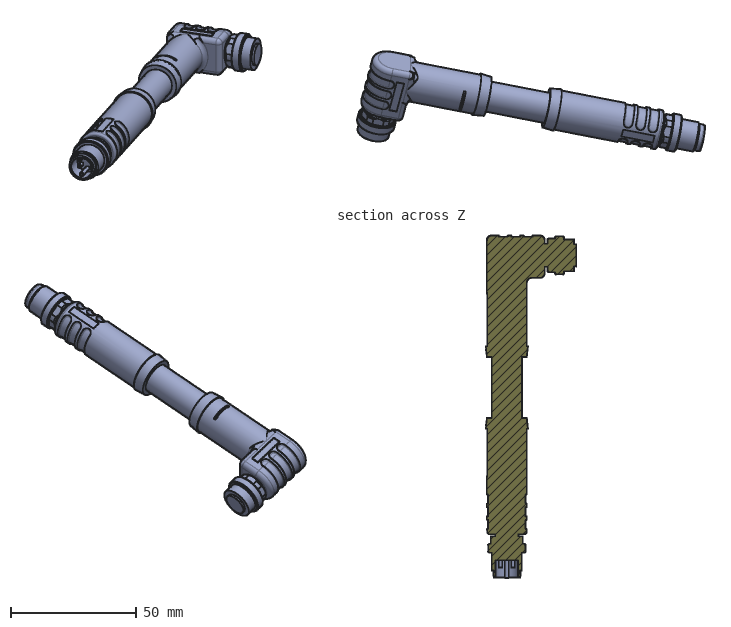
import cadquery as cq
import math


total_length = 136.8
cable_diameter = 12.3
grip_diameter = 16.0
grip_radius = grip_diameter / 2
collar_diameter = 17.0
collar_length = 4.4
male_grip_start = 17.5
male_grip_end = 64.0
male_grip_edge_radius = 1.1
female_grip_start = 88.3

housing_left = -grip_radius
housing_right = 15.2
housing_depth = 17.1
housing_half_height = grip_radius
housing_edge_radius = 2.0
housing_front = total_length - housing_depth
connector_y = total_length - housing_half_height
junction_fillet = 1.8
junction_slope_radius = 4.1
junction_margin = 0.1

groove_width = 3.7
male_groove_pitch = 5.0
female_groove_pitch = 4.9
groove_count = 3
groove_depth = 0.48
groove_floor_radius = 0.4
groove_reach = 27.4
male_groove_first = 21.5
male_groove_tip = 2.7
female_groove_first = -1.4
female_groove_tip = 126.7
groove_zone_diameter = 2 * collar_diameter

male_label_width = 3.3
male_label_length = 12.9
male_label_start = 20.1
male_label_floor = 7.8
female_label_length = 13.4
female_label_width = 3.0
female_label_start = -3.1
female_label_y = 123.0
female_label_depth = 0.3
slot_start = 98.0
slot_width = 0.8
slot_floor = 6.7

nut_sides = 6
nut_across_flats = 12.9
nut_diameter = 13.5
nut_length = 3.0
nut_taper_length = 0.7
male_nut_turn = 0
female_nut_turn = 30
male_ring_diameter = 15.0
female_ring_diameter = 15.3
ring_length = 3.7
ring_chamfer = 0.4
neck_diameter = 9.5
neck_embed = 1.4

male_nut_end = 16.8
male_sleeve_diameter = 12.0
male_sleeve_end = 3.0
male_tip_diameter = 11.0
male_tip_end = 0.3
male_groove_diameter = 10.5
male_groove_length = 0.5
male_rim_diameter = 10.5
male_rim_length = 0.8
bore_diameter = 8.9
bore_depth = 6.8

female_nut_start = 16.1
female_sleeve_diameter = 12.9
female_sleeve_end = 26.8
female_insert_diameter = 8.9
female_insert_end = 27.8

pin_diameter = 1.5
pin_tip = 4.1
earth_pin_diameter = 1.6
earth_pin_tip = 0.0
pin_chamfer = 0.3
pin_embed = 0.7
pin_count = 6
pin_circle_radius = 2.9

floor_zone = cq.selectors.BoxSelector(
    (-total_length, 0, -grip_radius),
    (total_length, total_length, grip_radius),
    boundingbox=True,
)


def rod(start, end, diameter):
    """Round bar on the Y axis."""
    return cq.Workplane("XZ", origin=(0, start, 0)).circle(diameter / 2).extrude(start - end)


def cone(start, end, start_diameter, end_diameter):
    """Tapered bar on the Y axis."""
    outline = [(0, start), (start_diameter / 2, start), (end_diameter / 2, end), (0, end)]
    return cq.Workplane("XY").polyline(outline).close().revolve(360, (0, 0, 0), (0, 1, 0))


def coupling(nut_back, nut_turn, outer_diameter):
    """Hexagon nut and round ring on the Y axis, running from nut_back towards -Y."""
    nut_front = nut_back - nut_length
    taper_end = nut_back - nut_taper_length
    hexagon = (
        cq.Workplane("XZ", origin=(0, nut_back, 0))
        .transformed(rotate=(0, 0, nut_turn))
        .polygon(nut_sides, nut_across_flats, circumscribed=True)
        .extrude(nut_length)
    )
    nut = rod(nut_front, taper_end, nut_diameter)
    nut = nut.union(cone(taper_end, nut_back, nut_diameter, nut_across_flats))
    ring = rod(nut_front - ring_length, nut_front, outer_diameter)
    ring = ring.edges().chamfer(ring_chamfer)
    return nut.intersect(hexagon).union(ring)


def recess(x, y, x_size, y_size, floor):
    """Cutter for a rectangular recess in both the +Z and -Z sides, down to floor from the mid-plane."""
    upper = cq.Workplane("XY", origin=(x, y, floor)).rect(x_size, y_size, centered=False)
    upper = upper.extrude(collar_diameter)
    return upper.union(upper.mirror("XY"))


def male_grip():
    """Straight grip with a tapered collar, side finger grooves and label flats."""
    body = rod(male_grip_start, male_grip_end, grip_diameter)
    body = body.faces("<Y").edges().fillet(male_grip_edge_radius)
    collar_start = male_grip_end - collar_length
    body = body.union(cone(collar_start, male_grip_end, collar_diameter, grip_diameter))

    groove_zone = rod(male_grip_start, male_grip_end, groove_zone_diameter)
    core_diameter = grip_diameter - 2 * groove_depth
    groove_zone = groove_zone.cut(rod(male_grip_start, male_grip_end, core_diameter))
    slots = cq.Workplane("XY")
    for side in (-1, 1):
        for index in range(groove_count):
            middle_x = side * (male_groove_tip + groove_reach / 2)
            middle_y = male_groove_first + index * male_groove_pitch
            slot = (
                cq.Workplane("XY")
                .center(middle_x, middle_y)
                .slot2D(groove_reach, groove_width)
                .extrude(collar_diameter, both=True)
            )
            slots = slots.add(slot)
    grooves = groove_zone.intersect(slots.combine())
    body = body.cut(grooves.edges(floor_zone).fillet(groove_floor_radius))

    label_left = -male_label_width / 2
    label = recess(label_left, male_label_start, male_label_width, male_label_length, male_label_floor)
    return body.cut(label)


def male_plug():
    """Straight plug with its threaded coupling, hollow tip and contact pins."""
    bore_end = male_tip_end + bore_depth
    plug = male_grip()
    plug = plug.union(rod(bore_end, male_grip_start + neck_embed, neck_diameter))
    plug = plug.union(coupling(male_nut_end, male_nut_turn, male_ring_diameter))
    plug = plug.union(rod(male_sleeve_end, male_nut_end - nut_length, male_sleeve_diameter))
    groove_end = male_sleeve_end - male_groove_length
    plug = plug.union(rod(groove_end, male_sleeve_end, male_groove_diameter))
    rim_end = male_tip_end + male_rim_length
    plug = plug.union(rod(rim_end, groove_end, male_tip_diameter))
    plug = plug.union(cone(male_tip_end, rim_end, male_rim_diameter, male_tip_diameter))
    plug = plug.cut(rod(male_tip_end, bore_end, bore_diameter))
    return plug.union(pins(bore_end))


def pins(root):
    """Ring of contact pins; the lowest one is the longer, thicker earth pin."""
    ring = cq.Workplane("XZ")
    for index in range(pin_count):
        is_earth = index == 0
        tip = earth_pin_tip if is_earth else pin_tip
        diameter = earth_pin_diameter if is_earth else pin_diameter
        angle = math.radians(index * 360 / pin_count - 90)
        x = pin_circle_radius * math.cos(angle)
        z = pin_circle_radius * math.sin(angle)
        pin = rod(tip, root + pin_embed, diameter).faces("<Y").edges().chamfer(pin_chamfer)
        ring = ring.add(pin.translate((x, 0, z)))
    return ring.combine()


def housing_outline(inset):
    """Half-round outline in the YZ plane, shrunk by inset."""
    half = housing_half_height - inset
    return (
        cq.Workplane("YZ")
        .moveTo(housing_front, -half)
        .lineTo(connector_y, -half)
        .threePointArc((connector_y + half, 0), (connector_y, half))
        .lineTo(housing_front, half)
        .close()
    )


def housing():
    """Rounded block of the angled plug with wrap-around finger grooves and labels."""
    length = housing_right - housing_left
    body = housing_outline(0).extrude(length).translate((housing_left, 0, 0))
    body = body.edges().fillet(housing_edge_radius)

    core = housing_outline(groove_depth).extrude(length).translate((housing_left, 0, 0))
    for index in range(groove_count):
        middle_x = female_groove_first + index * female_groove_pitch
        slot = (
            cq.Workplane("XY")
            .center(middle_x, female_groove_tip + groove_reach / 2)
            .slot2D(groove_reach, groove_width, 90)
            .extrude(collar_diameter, both=True)
        )
        groove = slot.cut(core)
        body = body.cut(groove.edges(floor_zone).edges("not |X").fillet(groove_floor_radius))

    floor = housing_half_height - female_label_depth
    label = recess(female_label_start, female_label_y, female_label_length, female_label_width, floor)
    return body.cut(label)


def junction():
    """Concave flare from the female grip to the housing, trimmed to fall away from the housing sides."""
    junction_end = housing_front + housing_edge_radius
    low = housing_front - junction_fillet
    wide = grip_radius + junction_fillet
    bend = junction_fillet * math.sqrt(0.5)
    flare = (
        cq.Workplane("XY")
        .moveTo(0, low)
        .lineTo(grip_radius, low)
        .threePointArc((wide - bend, low + bend), (wide, housing_front))
        .lineTo(wide, junction_end)
        .lineTo(0, junction_end)
        .close()
        .revolve(360, (0, 0, 0), (0, 1, 0))
    )
    length = housing_right - housing_left
    limit_length = junction_slope_radius + junction_margin
    limit = (
        cq.Workplane("XZ", origin=((housing_left + housing_right) / 2, junction_end, 0))
        .rect(length, 2 * housing_half_height)
        .extrude(limit_length)
        .faces("<Y")
        .edges()
        .fillet(junction_slope_radius)
    )
    return flare.intersect(limit)


def female_grip():
    """Grip of the angled plug with a tapered collar and two marking slots."""
    body = rod(female_grip_start, housing_front + housing_edge_radius, grip_diameter)
    collar_end = female_grip_start + collar_length
    body = body.union(cone(female_grip_start, collar_end, grip_diameter, collar_diameter))
    return body.cut(recess(-grip_radius, slot_start, grip_diameter, slot_width, slot_floor))


def female_connector():
    """Threaded coupling of the angled plug, built along -Y and then turned to point along +X."""
    parts = coupling(-female_nut_start, female_nut_turn, female_ring_diameter)
    parts = parts.union(rod(-female_nut_start, neck_embed - housing_right, neck_diameter))
    parts = parts.union(rod(-female_sleeve_end, -female_nut_start - nut_length, female_sleeve_diameter))
    parts = parts.union(rod(-female_insert_end, -female_sleeve_end, female_insert_diameter))
    return parts.rotate((0, 0, 0), (0, 0, 1), 90).translate((0, connector_y, 0))


cable = rod(male_grip_end, female_grip_start, cable_diameter)
angled_plug = female_grip().union(junction()).union(housing()).union(female_connector())
result = male_plug().union(cable).union(angled_plug)